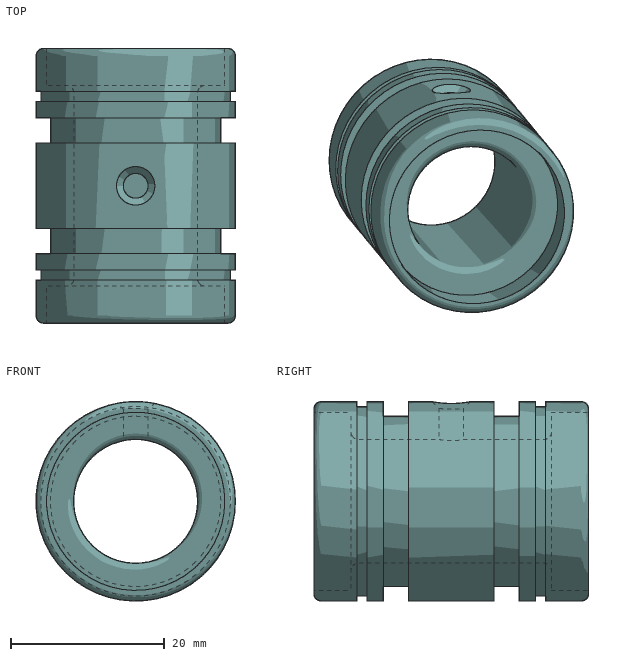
import cadquery as cq

length = 35.78
outer_radius = 13.0
bore_radius = 8.05
edge_round = 1.0

counterbore_radius = 11.6
counterbore_depth = 4.83

narrow_groove_offset = 5.6
narrow_groove_width = 1.3
narrow_groove_radius = 12.35
wide_groove_offset = 9.05
wide_groove_width = 3.25
wide_groove_radius = 11.1

hole_radius = 1.6
hole_rim_chamfer = 0.9


def cylinder(radius, start, height):
    """Solid cylinder on the Y axis, running from start toward +Y."""
    return cq.Workplane("XZ", origin=(0, start, 0)).circle(radius).extrude(-height)


def groove(offset, width, floor_radius, end):
    """Ring to remove for a groove at the given distance from one end (-1 or 1)."""
    start = end * (length / 2 - offset - width / 2) - width / 2
    ring = cylinder(outer_radius + edge_round, start, width)
    return ring.cut(cylinder(floor_radius, start, width))


def counterbore(end):
    """Recess to remove at one end (-1 or 1)."""
    start = end * (length - counterbore_depth) / 2 - counterbore_depth / 2
    return cylinder(counterbore_radius, start, counterbore_depth)


sleeve = cylinder(outer_radius, -length / 2, length)
sleeve = sleeve.faces("<Y or >Y").edges().fillet(edge_round)

bore_length = length - 2 * counterbore_depth
land = cylinder(outer_radius, -bore_length / 2, bore_length)
land = land.cut(cylinder(bore_radius, -bore_length / 2, bore_length))
mouths = cq.selectors.RadiusNthSelector(0)
land = land.faces("<Y or >Y").edges(mouths).fillet(edge_round)
inside = cylinder(outer_radius, -bore_length / 2, bore_length).cut(land)
sleeve = sleeve.cut(inside)
for end in (-1, 1):
    sleeve = sleeve.cut(counterbore(end))

hole = cq.Workplane("XY").circle(hole_radius).extrude(outer_radius + edge_round)
sleeve = sleeve.cut(hole)
rim_box = cq.selectors.BoxSelector(
    (-2 * hole_radius, -2 * hole_radius, outer_radius - edge_round),
    (2 * hole_radius, 2 * hole_radius, outer_radius + edge_round),
)
sleeve = sleeve.edges(rim_box).chamfer(hole_rim_chamfer)

for end in (-1, 1):
    sleeve = sleeve.cut(groove(narrow_groove_offset, narrow_groove_width, narrow_groove_radius, end))
    sleeve = sleeve.cut(groove(wide_groove_offset, wide_groove_width, wide_groove_radius, end))

result = sleeve